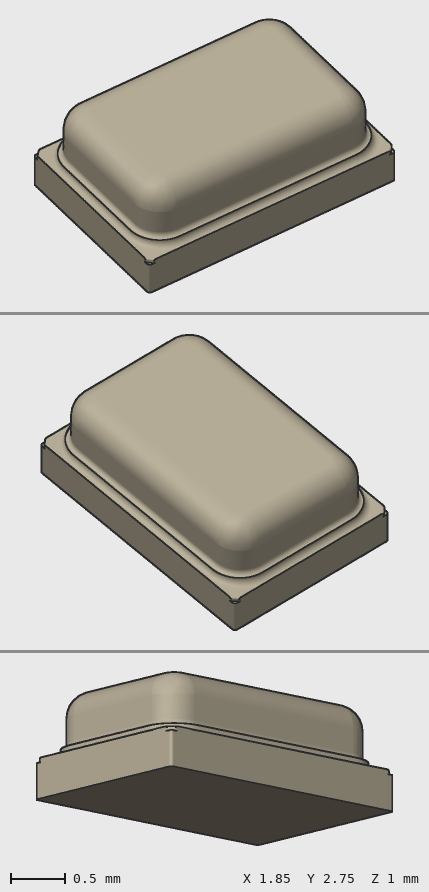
import cadquery as cq

base_x = 1.85
base_y = 2.75
body_height = 0.34
body_corner_radius = 0.03

plate_top = 0.385
plate_thickness = plate_top - body_height
plate_corner_cut = 0.058
plate_edge_radius = 0.02

total_height = 1.0
wall_x = 1.612
wall_y = 2.514
wall_corner_radius = 0.278
lid_edge_radius = 0.25

flare_radius = 0.072
cove_radius = 0.052
lip_height = plate_top + flare_radius
skirt_top = lip_height + cove_radius
skirt_root = 0.11


def block(size_x, size_y, height, bottom):
    """Box centred on the Z axis, standing on the given level."""
    return cq.Workplane("XY").workplane(offset=bottom).rect(size_x, size_y).extrude(height)


def make_body():
    return block(base_x, base_y, body_height, 0).edges("|Z").fillet(body_corner_radius)


def make_plate():
    """Plate with cut corners: the cut is blended into the top, and its two upright edges are rounded."""
    cut_plate = block(base_x, base_y, plate_thickness, body_height).edges("|Z").chamfer(plate_corner_cut)
    blended_into_top = cut_plate.faces(">Z").edges("not(|X or |Y)").fillet(plate_edge_radius)
    blended_into_sides = cut_plate.edges("|Z").fillet(plate_edge_radius)
    return blended_into_top.intersect(blended_into_sides)


def make_walls():
    return block(wall_x, wall_y, total_height - plate_top, plate_top).edges("|Z").fillet(wall_corner_radius)


def make_lid():
    return make_walls().faces(">Z").edges().fillet(lid_edge_radius)


def make_skirt():
    """Sweep the stepped profile round the wall, then trim it at the base sides."""
    wall_foot = make_walls().faces("<Z").wires().val()

    wall_face = wall_x / 2
    lip_edge = wall_face + cove_radius
    outer_edge = lip_edge + flare_radius
    inner_edge = wall_face - skirt_root
    profile = (
        cq.Workplane("XZ")
        .moveTo(inner_edge, plate_top)
        .lineTo(outer_edge, plate_top)
        .radiusArc((lip_edge, lip_height), flare_radius)
        .radiusArc((wall_face, skirt_top), cove_radius)
        .lineTo(inner_edge, skirt_top)
        .close()
    )
    skirt = profile.sweep(cq.Workplane(wall_foot))
    return skirt.intersect(block(base_x, base_y, skirt_top, 0))


result = make_body()
for part in (make_plate(), make_skirt(), make_lid()):
    result = result.union(part, clean=False)